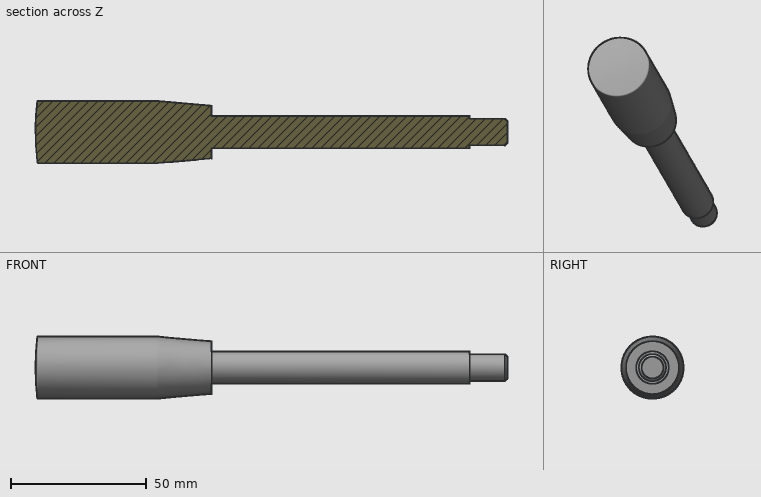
import cadquery as cq
import math

total_length = 173.9
grip_diameter = 23.0
grip_neck_diameter = 19.5
shaft_diameter = 12.0
tip_diameter = 10.0

grip_taper_length = 20.0
shaft_length = 95.0
tip_length = 14.0
tip_chamfer = 1.0
grip_edge_round = 0.5
crown_height = 0.65

grip_radius = grip_diameter / 2
crown_radius = grip_radius - grip_edge_round
grip_length = total_length - shaft_length - tip_length

taper_start = grip_length - grip_taper_length
shaft_end = grip_length + shaft_length


def revolve_about_x(profile):
    """Turn a closed half profile in the XY plane fully about the X axis."""
    return profile.revolve(360, (0, 0, 0), (1, 0, 0))


def make_grip():
    """Cylindrical handle with a low crowned end, a rounded rim and a tapered neck."""
    sphere_radius = (crown_radius**2 + crown_height**2) / (2 * crown_height)
    mid_radius = crown_radius / 2
    mid_x = sphere_radius - math.sqrt(sphere_radius**2 - mid_radius**2)
    round_inset = grip_edge_round * (1 - math.cos(math.radians(45)))
    profile = (
        cq.Workplane("XY")
        .moveTo(0, 0)
        .threePointArc((mid_x, mid_radius), (crown_height, crown_radius))
        .threePointArc(
            (crown_height + round_inset, grip_radius - round_inset),
            (crown_height + grip_edge_round, grip_radius),
        )
        .lineTo(taper_start, grip_radius)
        .lineTo(grip_length, grip_neck_diameter / 2)
        .lineTo(grip_length, 0)
        .close()
    )
    return revolve_about_x(profile)


def make_rod(start, length, diameter):
    """Round rod along X from the given start."""
    return cq.Workplane("YZ").workplane(offset=start).circle(diameter / 2).extrude(length)


shaft = make_rod(grip_length, shaft_length, shaft_diameter)
tip = make_rod(shaft_end, tip_length, tip_diameter).faces(">X").chamfer(tip_chamfer)

result = make_grip().union(shaft).union(tip)